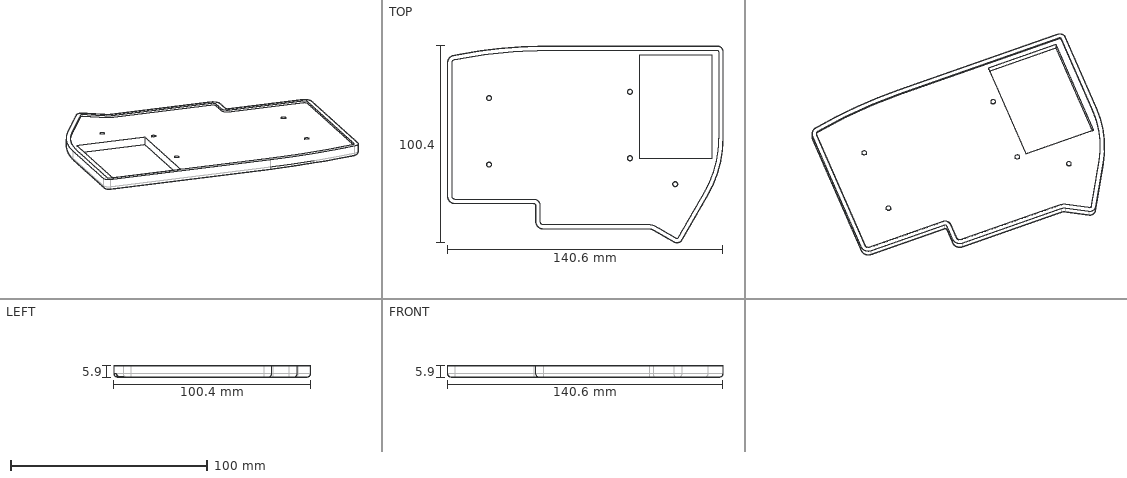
import cadquery as cq
import math

length = 140.6
width = 100.4
height = 5.9

left_bottom_y = 20.0
step_x = 45.0
right_bottom_y = 7.0
thumb_start_x = 104.0
thumb_angle = math.radians(30)
tip_radius = 3.0
side_arc_radius = 57.6
crown_radius = 237.6
crown_start_x = 50.6

corner_radius = 4.0
top_right_radius = 3.0
step_inner_radius = 0.8
thumb_start_radius = 4.0
bottom_fillet = 2.0

rim_width = 2.2
rim_depth = 1.0
pocket_left = 97.9
pocket_right = 134.8
pocket_bottom = 43.2
pocket_top = 95.7
pocket_floor = 0.8

hole_diameter = 2.4
hole_pitch_y = 33.9
left_hole = (21.2, 40.0)
right_hole = (93.1, 43.2)
thumb_hole = (116.1, 30.0)


def thumb_tip():
    """Sharp tip: the square corner whose rounding touches y = 0."""
    tip_y = tip_radius * (1 - math.cos(thumb_angle) - math.sin(thumb_angle))
    tip_x = thumb_start_x + (right_bottom_y - tip_y) / math.tan(thumb_angle)
    return tip_x, tip_y


def crown_end():
    """Sharp corner where the crown meets the left side."""
    return 0, width - crown_radius + math.sqrt(crown_radius**2 - crown_start_x**2)


def outline():
    """Closed outline with sharp corners; the two large arcs run in tangentially."""
    tip_x, tip_y = thumb_tip()

    side_arc_start_x = length - side_arc_radius * (1 - math.cos(thumb_angle))
    side_arc_start_y = tip_y + (side_arc_start_x - tip_x) / math.tan(thumb_angle)
    side_arc_end_y = side_arc_start_y + side_arc_radius * math.sin(thumb_angle)

    return (
        cq.Workplane("XY")
        .moveTo(0, left_bottom_y)
        .lineTo(step_x, left_bottom_y)
        .lineTo(step_x, right_bottom_y)
        .lineTo(thumb_start_x, right_bottom_y)
        .lineTo(tip_x, tip_y)
        .lineTo(side_arc_start_x, side_arc_start_y)
        .radiusArc((length, side_arc_end_y), -side_arc_radius)
        .lineTo(length, width)
        .lineTo(crown_start_x, width)
        .radiusArc(crown_end(), -crown_radius)
        .close()
    )


def rounded_plate():
    """Full-height plate with rounded vertical corners."""
    corners = [
        ((0, left_bottom_y), corner_radius),
        ((step_x, left_bottom_y), step_inner_radius),
        ((step_x, right_bottom_y), corner_radius),
        ((thumb_start_x, right_bottom_y), thumb_start_radius),
        (thumb_tip(), tip_radius),
        ((length, width), top_right_radius),
        (crown_end(), corner_radius),
    ]
    plate = outline().extrude(height)
    for (x, y), radius in corners:
        corner_edge = cq.selectors.NearestToPointSelector((x, y, height / 2))
        plate = plate.edges("|Z").edges(corner_edge).fillet(radius)
    return plate


def rim_recess(plate):
    """Shallow recess that leaves a rim of constant width along the outline."""
    return (
        plate.faces(">Z").wires().toPending()
        .offset2D(-rim_width)
        .extrude(-rim_depth, combine=False)
    )


def pocket():
    """Deep rectangular pocket."""
    return cq.Workplane("XY").box(
        pocket_right - pocket_left,
        pocket_top - pocket_bottom,
        height - pocket_floor,
        centered=False,
    ).translate((pocket_left, pocket_bottom, pocket_floor))


def screw_holes():
    """Through holes: two pairs and a single one near the tip."""
    centers = [thumb_hole]
    for x, y in (left_hole, right_hole):
        centers += [(x, y), (x, y + hole_pitch_y)]
    return cq.Workplane("XY").pushPoints(centers).circle(hole_diameter / 2).extrude(height)


plate = rounded_plate()
body = plate.faces("<Z").edges().fillet(bottom_fillet)
result = body.cut(rim_recess(plate)).cut(pocket()).cut(screw_holes())